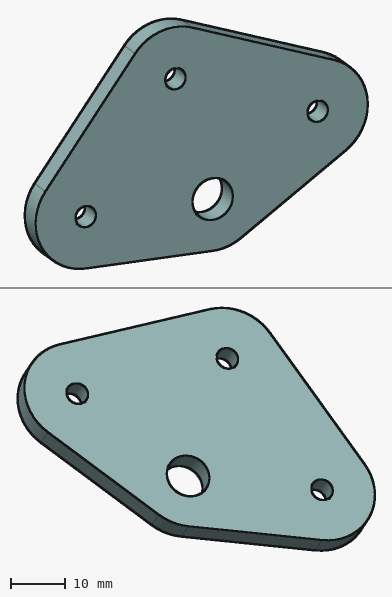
import cadquery as cq

length = 66.1
height = 44.1
thickness = 5.0

corner_radius = 10.0
small_hole_diameter = 4.0
large_hole_diameter = 8.0

right_reach = 25.25
left_reach = length - 2 * corner_radius - right_reach
top_rise = height - 2 * corner_radius
top_offset = 7.4
left_rise = 14.1

large_hole = (0, 0)
right_hole = (-right_reach, 0)
top_hole = (-top_offset, top_rise)
left_hole = (left_reach, left_rise)
small_holes = [right_hole, top_hole, left_hole]
corners = [large_hole, right_hole, top_hole, left_hole]


def rounded_plate():
    """Plate whose outline wraps equal circles around the corner centres."""
    outline = cq.Workplane("YZ").polyline(corners).close()
    return outline.offset2D(corner_radius, "arc").extrude(thickness)


def hole_cutter(centers, diameter):
    """Cylinders through the full thickness at the given centres."""
    return cq.Workplane("YZ").pushPoints(centers).circle(diameter / 2).extrude(thickness)


result = (
    rounded_plate()
    .cut(hole_cutter(small_holes, small_hole_diameter))
    .cut(hole_cutter([large_hole], large_hole_diameter))
)